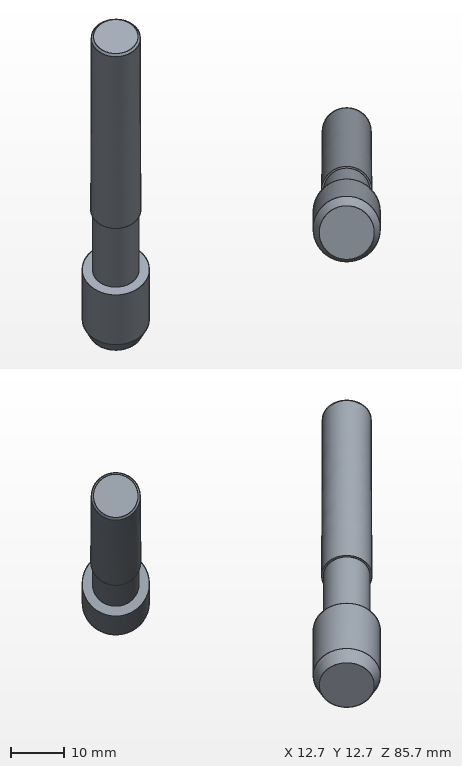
import cadquery as cq

TOTAL_HEIGHT = 85.7
HEAD_HEIGHT = 17.6
SHOULDER_HEIGHT = 35.15
TAPER_TOP_HEIGHT = 74.6

HEAD_DIAMETER = 12.7
HEAD_CONE_HEIGHT = 3.0
HEAD_BOTTOM_DIAMETER = 10.4

NECK_DIAMETER = 8.8
SHANK_DIAMETER = 9.5
TIP_DIAMETER = 9.3
TIP_CHAMFER = 0.4

HEAD_RADIUS = HEAD_DIAMETER / 2
HEAD_BOTTOM_RADIUS = HEAD_BOTTOM_DIAMETER / 2
NECK_RADIUS = NECK_DIAMETER / 2
SHANK_RADIUS = SHANK_DIAMETER / 2
TIP_RADIUS = TIP_DIAMETER / 2


def revolve_about_z(profile):
    """Turn a closed half profile of (radius, height) points about the Z axis."""
    return cq.Workplane("XZ").polyline(profile).close().revolve(360, (0, 0), (0, 1))


def make_head():
    """Cylindrical head with a conical lower end."""
    return revolve_about_z([
        (0, 0),
        (HEAD_BOTTOM_RADIUS, 0),
        (HEAD_RADIUS, HEAD_CONE_HEIGHT),
        (HEAD_RADIUS, HEAD_HEIGHT),
        (0, HEAD_HEIGHT),
    ])


def make_pin():
    """Straight neck, slightly tapered shank and straight tip with a chamfered end."""
    body = revolve_about_z([
        (0, HEAD_HEIGHT),
        (NECK_RADIUS, HEAD_HEIGHT),
        (NECK_RADIUS, SHOULDER_HEIGHT),
        (SHANK_RADIUS, SHOULDER_HEIGHT),
        (TIP_RADIUS, TAPER_TOP_HEIGHT),
        (TIP_RADIUS, TOTAL_HEIGHT),
        (0, TOTAL_HEIGHT),
    ])
    return body.faces(">Z").edges().chamfer(TIP_CHAMFER)


head = make_head()
pin = make_pin()

result = cq.Compound.makeCompound([head.val(), pin.val()])